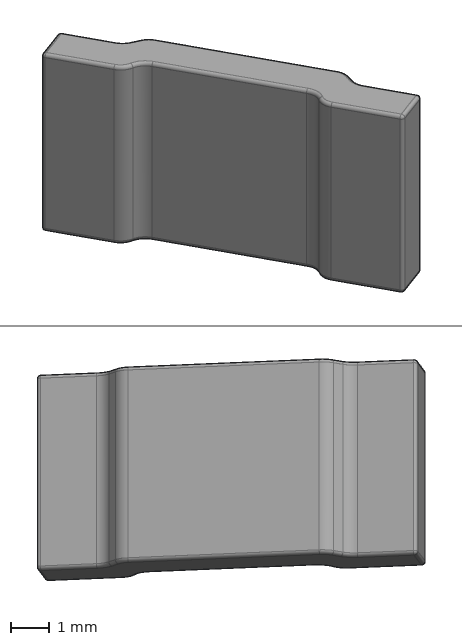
import cadquery as cq
import math

length = 10.0
height = 5.2
thickness = 1.3
step = 0.5

bend_radius = 0.5
front_tab_length = 2.0
back_plateau_start = 2.485
back_slope_angle = math.radians(45)
edge_radius = 0.1

shortest_straight = 0.001

half_length = length / 2

front_bend_angle = math.acos(1 - step / (2 * bend_radius))

front_tab_y = -(thickness + step) / 2
front_middle_y = front_tab_y + step
back_tab_y = front_tab_y + thickness
back_plateau_y = back_tab_y + step


def bend_run(angle):
    """Length along X of an S-bend that rises one step at the given angle."""
    arc_run = bend_radius * math.sin(angle)
    arc_rise = bend_radius * (1 - math.cos(angle))
    return 2 * arc_run + (step - 2 * arc_rise) / math.tan(angle)


def bend_half(outline, start, x_sign, y_sign, angle, starts_flat):
    """Add one arc turning from flat to the slope, or from the slope to flat."""
    arc_run = bend_radius * math.sin(angle)
    arc_rise = bend_radius * (1 - math.cos(angle))
    mid_run = bend_radius * math.sin(angle / 2)
    mid_rise = bend_radius * (1 - math.cos(angle / 2))
    if not starts_flat:
        mid_run = arc_run - mid_run
        mid_rise = arc_rise - mid_rise
    x, y = start
    middle = (x + x_sign * mid_run, y + y_sign * mid_rise)
    end = (x + x_sign * arc_run, y + y_sign * arc_rise)
    return outline.threePointArc(middle, end), end


def s_bend(outline, start, x_sign, y_sign, angle):
    """Add a bend of two opposite arcs, joined by a straight where one is left."""
    arc_rise = bend_radius * (1 - math.cos(angle))
    straight_rise = step - 2 * arc_rise
    outline, (x, y) = bend_half(outline, start, x_sign, y_sign, angle, True)
    if straight_rise > shortest_straight:
        x += x_sign * straight_rise / math.tan(angle)
        y += y_sign * straight_rise
        outline = outline.lineTo(x, y)
    outline, _ = bend_half(outline, (x, y), x_sign, y_sign, angle, False)
    return outline


def bent_profile():
    """Closed outline of the bent strip in the XY plane."""
    front_tab_x = half_length - front_tab_length
    front_middle_x = front_tab_x - bend_run(front_bend_angle)
    back_plateau_x = half_length - back_plateau_start
    back_tab_x = back_plateau_x + bend_run(back_slope_angle)

    outline = cq.Workplane("XY", origin=(0, 0, -height / 2))
    outline = outline.moveTo(-half_length, front_tab_y).lineTo(-front_tab_x, front_tab_y)
    outline = s_bend(outline, (-front_tab_x, front_tab_y), 1, 1, front_bend_angle)
    outline = outline.lineTo(front_middle_x, front_middle_y)
    outline = s_bend(outline, (front_middle_x, front_middle_y), 1, -1, front_bend_angle)
    outline = outline.lineTo(half_length, front_tab_y)
    outline = outline.lineTo(half_length, back_tab_y)
    outline = outline.lineTo(back_tab_x, back_tab_y)
    outline = s_bend(outline, (back_tab_x, back_tab_y), -1, 1, back_slope_angle)
    outline = outline.lineTo(-back_plateau_x, back_plateau_y)
    outline = s_bend(outline, (-back_plateau_x, back_plateau_y), -1, -1, back_slope_angle)
    outline = outline.lineTo(-half_length, back_tab_y)
    return outline.close()


def round_outer_edges(body):
    """Round the top and bottom outlines and the four upright end corners."""
    return body.faces("<X or >X or <Z or >Z").edges().fillet(edge_radius)


result = round_outer_edges(bent_profile().extrude(height))